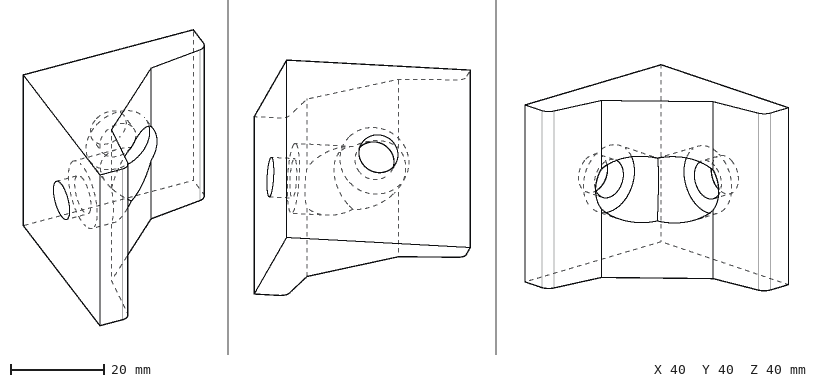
import cadquery as cq

side = 40.0
tip_thickness = 7.05
root_thickness = 9.05
root_distance = 26.0
tip_radius = 2.0
hole_diameter = 8.5
counterbore_diameter = 15.0
counterbore_floor = 12.5
middle = side / 2


def bracket_body():
    """Extrude the L-shaped profile and round the inner edges of the flange tips."""
    profile = [
        (0, 0),
        (side, 0),
        (side, tip_thickness),
        (root_distance, root_thickness),
        (root_thickness, root_distance),
        (tip_thickness, side),
        (0, side),
    ]
    body = cq.Workplane("XY").polyline(profile).close().extrude(side)
    for tip in [(side, tip_thickness, middle), (tip_thickness, side, middle)]:
        body = body.edges(cq.selectors.NearestToPointSelector(tip)).fillet(tip_radius)
    return body


def bolt_cutter(outer_face_center, direction):
    """Through hole that widens into a counterbore open to the inner side."""
    start = cq.Vector(*outer_face_center)
    axis = cq.Vector(*direction)
    floor_center = start + axis * counterbore_floor
    hole = cq.Solid.makeCylinder(hole_diameter / 2, side, start, axis)
    counterbore = cq.Solid.makeCylinder(counterbore_diameter / 2, side, floor_center, axis)
    return cq.Workplane(obj=hole).union(cq.Workplane(obj=counterbore))


result = bracket_body()
result = result.cut(bolt_cutter((middle, 0, middle), (0, 0.4, 0)))
result = result.cut(bolt_cutter((0, middle, middle), (0.4, 0, 0)))